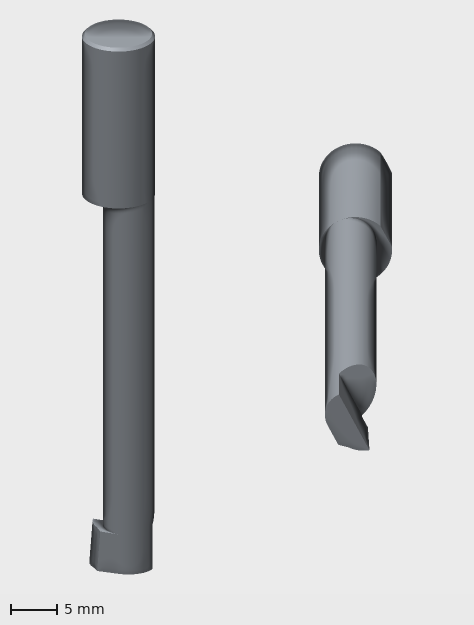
import cadquery as cq

total_length = 63.5
shank_diameter = 7.95
shank_length = 19.05
shank_depth = 7.7
shank_chamfer = 0.3

neck_diameter = 5.6

head_height = 5.1
rake_bottom = 5.6
tip_x = -3.35
tip_lean = 0.4
heel_x = -2.15
heel_y = -1.9
flank_mid_x = -3.0
flank_mid_y = -0.95
underside_x = -1.4
end_slope_x = 0.035
end_slope_y = 0.08
cutter_size = 31.75

shank_radius = shank_diameter / 2
neck_radius = neck_diameter / 2
relief_top = rake_bottom + neck_radius
neck_x = shank_radius - neck_radius
shank_bottom = total_length - shank_length


def make_shank():
    """Chamfered cylinder with a flat along its +Y side."""
    shank = cq.Workplane("XY").workplane(offset=shank_bottom).circle(shank_radius).extrude(shank_length)
    shank = shank.faces(">Z").chamfer(shank_chamfer)
    envelope = (
        cq.Workplane("XY", origin=(0, -shank_radius, shank_bottom))
        .rect(shank_diameter, 2 * shank_depth)
        .extrude(shank_length)
    )
    return shank.intersect(envelope)


def make_neck():
    """Cylinder reduced to its -Y half at the end, with a sloped run-out."""
    neck = cq.Workplane("XY").center(neck_x, 0).circle(neck_radius).extrude(shank_bottom)
    relief = (
        cq.Workplane("YZ")
        .polyline([(0, 0), (neck_radius, 0), (neck_radius, relief_top), (0, rake_bottom)])
        .close()
        .extrude(shank_diameter, both=True)
    )
    return neck.cut(relief)


def head_profile(start, shift):
    """Add the head outline, with its cutting side shifted along X."""
    return (
        start.moveTo(neck_x, 0)
        .lineTo(tip_x + shift, 0)
        .threePointArc((flank_mid_x + shift, flank_mid_y), (heel_x + shift, heel_y))
        .lineTo(underside_x + shift, -neck_radius)
        .lineTo(neck_x, -neck_radius)
        .close()
    )


def make_head():
    """Leaning cutting head that projects from the neck towards -X."""
    bottom = head_profile(cq.Workplane("XY"), 0)
    return head_profile(bottom.workplane(offset=head_height), tip_lean).loft(ruled=True)


def make_end_cutter():
    """Everything below the end face, which rises from the cutting tip."""
    end_plane = cq.Plane(
        origin=(tip_x, 0, 0),
        xDir=(1, 0, end_slope_x),
        normal=(-end_slope_x, end_slope_y, 1),
    )
    return cq.Workplane(end_plane).rect(cutter_size, cutter_size).extrude(-head_height)


result = make_shank().union(make_neck()).union(make_head()).cut(make_end_cutter())